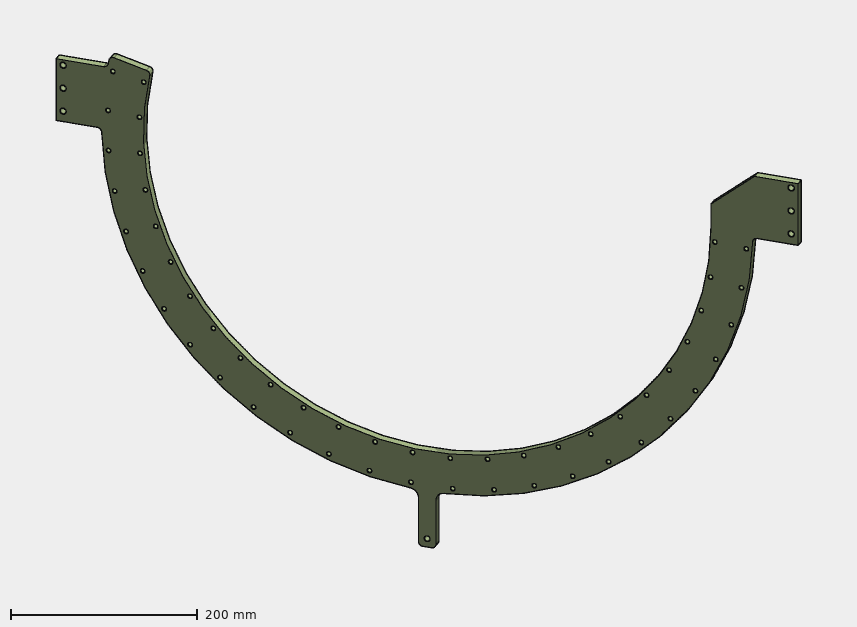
import cadquery as cq
import math

thickness = 10.0

inner_radius = 325.0
outer_radius = 373.0
ring_start_angle = 167.0
ring_end_fillet = 5.0

inner_hole_circle_radius = 330.0
outer_hole_circle_radius = 366.0
ring_hole_diameter = 4.5
ring_hole_pitch = 7.5
ring_hole_count = 26
first_hole_angle = ring_start_angle + 2.6

half_width = 425.0
plate_top = 70.0
plate_bottom = -4.0
plate_corner_fillet = 5.0
bevel_top_x = 375.0
bevel_bottom_z = 28.0
plate_hole_diameter = 6.5
plate_hole_edge_offset = 8.0
plate_hole_top_z = 63.5
plate_hole_spacing = 27.5
plate_hole_count = 3

tab_width = 20.0
tab_bottom = -440.0
tab_root_fillet = 10.0
tab_end_fillet = 5.0
tab_hole_diameter = 6.0
tab_hole_end_offset = 10.0

hole_chamfer = 0.5
chamfer_taper = 45.0


def polar(radius, angle):
    """Point on a circle about the ring axis, angle in degrees from +X."""
    return radius * math.cos(math.radians(angle)), radius * math.sin(math.radians(angle))


def circle_leg(radius, leg):
    """Other coordinate of a point on a circle about the ring axis, given one of them."""
    return math.sqrt(radius**2 - leg**2)


neck_x = circle_leg(outer_radius, plate_bottom)
shoulder_x = circle_leg(outer_radius, plate_top)
tab_half = tab_width / 2
tab_root_z = -circle_leg(outer_radius, tab_half)


def outline():
    """Closed outline of the whole part with sharp corners."""
    shoulder_angle = 180 - math.degrees(math.asin(plate_top / outer_radius))
    return (
        cq.Workplane("XZ", origin=(0, thickness / 2, 0))
        .moveTo(*polar(inner_radius, ring_start_angle))
        .threePointArc((0, -inner_radius), (inner_radius, 0))
        .lineTo(inner_radius, bevel_bottom_z)
        .lineTo(bevel_top_x, plate_top)
        .lineTo(half_width, plate_top)
        .lineTo(half_width, plate_bottom)
        .lineTo(neck_x, plate_bottom)
        .threePointArc(polar(outer_radius, -45), (tab_half, tab_root_z))
        .lineTo(tab_half, tab_bottom)
        .lineTo(-tab_half, tab_bottom)
        .lineTo(-tab_half, tab_root_z)
        .threePointArc(polar(outer_radius, -135), (-neck_x, plate_bottom))
        .lineTo(-half_width, plate_bottom)
        .lineTo(-half_width, plate_top)
        .lineTo(-shoulder_x, plate_top)
        .threePointArc(
            polar(outer_radius, (shoulder_angle + ring_start_angle) / 2),
            polar(outer_radius, ring_start_angle),
        )
        .close()
    )


def fillet_corner(body, x, z, radius):
    """Round the through-thickness edge nearest to (x, z)."""
    return body.edges(cq.selectors.NearestToPointSelector((x, 0, z))).edges("|Y").fillet(radius)


def round_corners(body):
    """Round the necks, the tab, the left shoulder and the free end of the ring."""
    for side in (-1, 1):
        body = fillet_corner(body, side * neck_x, plate_bottom, plate_corner_fillet)
        body = fillet_corner(body, side * tab_half, tab_root_z, tab_root_fillet)
        body = fillet_corner(body, side * tab_half, tab_bottom, tab_end_fillet)
    body = fillet_corner(body, -shoulder_x, plate_top, plate_corner_fillet)
    for radius in (inner_radius, outer_radius):
        body = fillet_corner(body, *polar(radius, ring_start_angle), ring_end_fillet)
    return body


def drill(body, points, diameter):
    """Through holes along Y at the given (x, z) points, chamfered on the -Y face."""
    front_face = cq.Workplane("XZ", origin=(0, -thickness / 2, 0)).pushPoints(points)
    bores = front_face.circle(diameter / 2).extrude(-thickness)
    mouths = front_face.circle(diameter / 2 + hole_chamfer).extrude(-hole_chamfer, taper=chamfer_taper)
    return body.cut(bores).cut(mouths)


ring_hole_points = [
    polar(radius, first_hole_angle + index * ring_hole_pitch)
    for radius in (inner_hole_circle_radius, outer_hole_circle_radius)
    for index in range(ring_hole_count)
]
plate_hole_points = [
    (side * (half_width - plate_hole_edge_offset), plate_hole_top_z - index * plate_hole_spacing)
    for side in (-1, 1)
    for index in range(plate_hole_count)
]
tab_hole_points = [(0, tab_bottom + tab_hole_end_offset)]

result = round_corners(outline().extrude(thickness))
result = drill(result, ring_hole_points, ring_hole_diameter)
result = drill(result, plate_hole_points, plate_hole_diameter)
result = drill(result, tab_hole_points, tab_hole_diameter)